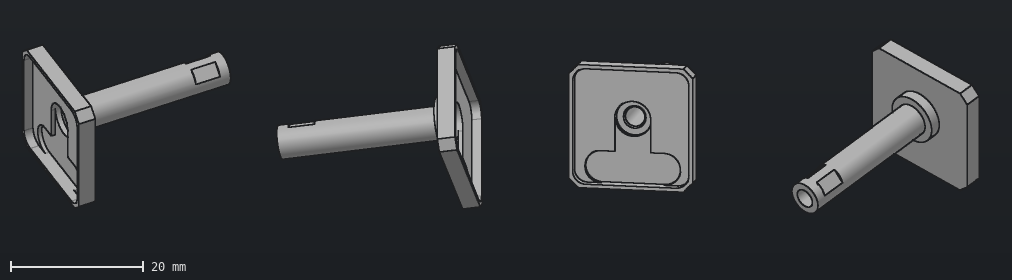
import cadquery as cq

total_length = 29.03
plate_size = 19.05
plate_thickness = 2.75
corner_chamfer = 1.42
plate_drop = 1.07

stem_diameter = 5.25
collar_diameter = 7.87
collar_length = 1.75
bore_diameter = 3.0
bore_mouth_diameter = 3.45
bore_mouth_length = 0.35

wall = 0.6
pocket_size = plate_size - 2 * wall
pocket_corner_radius = 2.0
pocket_depth = 1.5
channel_width = 5.55
foot_length = 14.63
foot_height = 4.94
channel_depth = 2.2
counterbore_depth = 3.14

flat_length = 4.04
flat_end_gap = 1.75
flat_distance = 2.35
flat_angles = (-45, 45)

pocket_bottom = -plate_drop - pocket_size / 2
foot_center = pocket_bottom + foot_height / 2


def plane_at(y):
    """Sketch plane facing +Y, with local x along -X and local y along +Z."""
    return cq.Workplane(cq.Plane(origin=(0, y, 0), xDir=(-1, 0, 0), normal=(0, 1, 0)))


def cylinder(diameter, start, end):
    return plane_at(start).circle(diameter / 2).extrude(end - start)


def make_plate():
    block = plane_at(0).center(0, -plate_drop).rect(plate_size, plate_size).extrude(plate_thickness)
    return block.edges("|Y").chamfer(corner_chamfer)


def make_pocket():
    block = plane_at(0).center(0, -plate_drop).rect(pocket_size, pocket_size).extrude(pocket_depth)
    return block.edges("|Y").fillet(pocket_corner_radius)


def make_channel():
    """Inverted T: a rounded foot along the lower wall and a neck up to the bore."""
    depth = channel_depth - pocket_depth
    foot = plane_at(pocket_depth).center(0, foot_center).slot2D(foot_length, foot_height).extrude(depth)
    neck_height = -foot_center
    neck = plane_at(pocket_depth).center(0, foot_center / 2).rect(channel_width, neck_height).extrude(depth)
    return foot.union(neck)


def make_flat_cut(angle):
    """Block whose lower face is the flat, turned about the stem axis."""
    start = total_length - flat_end_gap - flat_length
    block = cq.Workplane("XY").box(stem_diameter, flat_length, stem_diameter, centered=(True, False, False))
    return block.translate((0, start, flat_distance)).rotate((0, 0, 0), (0, 1, 0), angle)


def make_bore():
    bore = cylinder(bore_diameter, 0, total_length)
    mouth = cq.Solid.makeCone(
        bore_mouth_diameter / 2,
        bore_diameter / 2,
        bore_mouth_length,
        pnt=cq.Vector(0, counterbore_depth, 0),
        dir=cq.Vector(0, 1, 0),
    )
    return bore.union(cq.Workplane(mouth))


result = make_plate()
result = result.union(cylinder(collar_diameter, plate_thickness, plate_thickness + collar_length))
result = result.union(cylinder(stem_diameter, plate_thickness, total_length))
result = result.cut(make_pocket())
result = result.cut(make_channel())
result = result.cut(cylinder(channel_width, pocket_depth, counterbore_depth))
result = result.cut(make_bore())
for flat_angle in flat_angles:
    result = result.cut(make_flat_cut(flat_angle))